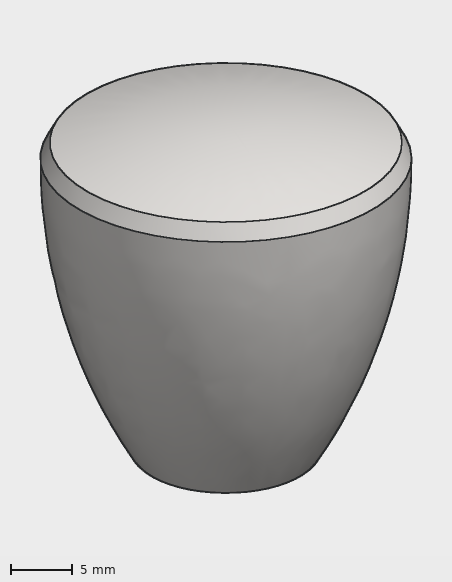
import cadquery as cq

height = 30.0
rim_radius = 15.0

rim_height = 26.55
dome_edge_radius = 14.23
dome_edge_height = 27.95

body_mid_radius = 12.45
body_mid_height = 10.5
foot_radius = 7.72
foot_bevel = 0.18

dome_rise = height - dome_edge_height
dome_sphere_radius = (dome_edge_radius**2 + dome_rise**2) / (2 * dome_rise)
dome_mid_radius = dome_edge_radius / 2
dome_mid_height = height - dome_sphere_radius + (dome_sphere_radius**2 - dome_mid_radius**2) ** 0.5

half_section = (
    cq.Workplane("XZ")
    .lineTo(foot_radius - foot_bevel, 0)
    .lineTo(foot_radius, foot_bevel)
    .threePointArc((body_mid_radius, body_mid_height), (rim_radius, rim_height))
    .lineTo(dome_edge_radius, dome_edge_height)
    .threePointArc((dome_mid_radius, dome_mid_height), (0, height))
    .close()
)

result = half_section.revolve(360, (0, 0, 0), (0, 1, 0))